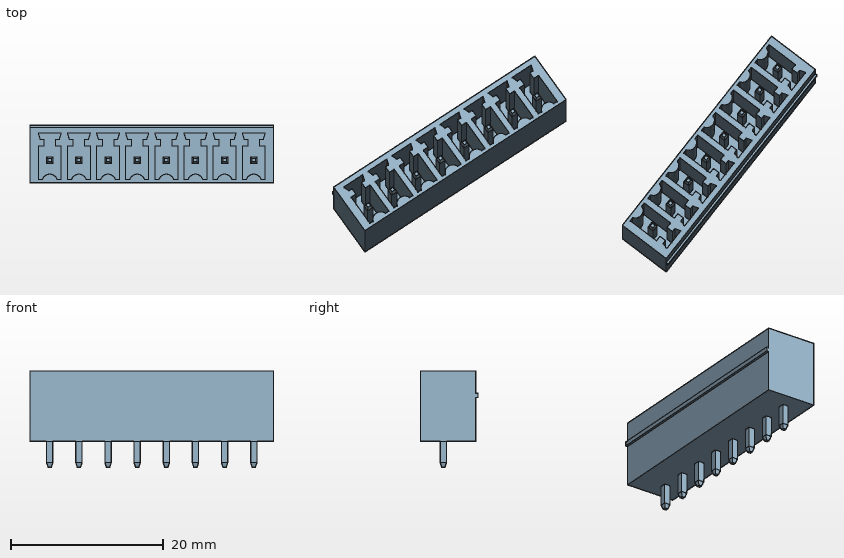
import cadquery as cq


position_count = 8
pitch = 3.81
pin_width = 0.85
pin_tip_width = 0.45
pin_tip_length = 0.6
pin_tail_length = 3.4
pin_recess = 1.4

end_margin = 2.6
housing_length = (position_count - 1) * pitch + 2 * end_margin
housing_depth = 7.25
housing_height = 9.2
front_y = -3.0
back_y = front_y + housing_depth
floor_thickness = 1.2

ridge_projection = 0.3
ridge_height = 0.6
ridge_drop = 2.9

pocket_half_width = 1.5
neck_half_width = 0.75
dovetail_inner_half_width = 1.25
pocket_front_y = front_y + 0.45
neck_front_y = front_y + 4.8
neck_back_y = front_y + 5.7
dovetail_back_y = front_y + 6.5

rib_radius = 1.0
rib_center_y = front_y + 0.15


def make_housing():
    block = cq.Workplane("XY").box(
        housing_length, housing_depth, housing_height, centered=(True, False, False)
    )
    return block.translate((0, front_y, 0))


def make_ridge():
    ridge = cq.Workplane("XY").box(
        housing_length, ridge_projection, ridge_height, centered=(True, False, False)
    )
    return ridge.translate((0, back_y, housing_height - ridge_drop - ridge_height))


def make_pocket():
    """Wide pocket joined by a neck to a dovetail slot, less the rounded front rib."""
    pocket_depth = housing_height - floor_thickness
    right_side = [
        (pocket_half_width, pocket_front_y),
        (pocket_half_width, neck_front_y),
        (neck_half_width, neck_front_y),
        (neck_half_width, neck_back_y),
        (dovetail_inner_half_width, neck_back_y),
        (pocket_half_width, dovetail_back_y),
    ]
    left_side = [(-x, y) for x, y in reversed(right_side)]
    floor_plane = cq.Workplane("XY").workplane(offset=floor_thickness)
    cavity = floor_plane.polyline(right_side + left_side).close().extrude(pocket_depth)
    rib = floor_plane.center(0, rib_center_y).circle(rib_radius).extrude(pocket_depth)
    return cavity.cut(rib)


def make_pin_tip(base_z, direction):
    """Tapered square tip, pointing up (direction 1) or down (direction -1)."""
    return (
        cq.Workplane("XY")
        .workplane(offset=base_z)
        .rect(pin_width, pin_width)
        .workplane(offset=direction * pin_tip_length)
        .rect(pin_tip_width, pin_tip_width)
        .loft()
    )


def make_pin():
    shank_bottom = pin_tip_length - pin_tail_length
    shank_top = housing_height - pin_recess - pin_tip_length
    shank = (
        cq.Workplane("XY")
        .workplane(offset=shank_bottom)
        .rect(pin_width, pin_width)
        .extrude(shank_top - shank_bottom)
    )
    return shank.union(make_pin_tip(shank_top, 1)).union(make_pin_tip(shank_bottom, -1))


pocket = make_pocket()
pin = make_pin()
position_x = [(index - (position_count - 1) / 2) * pitch for index in range(position_count)]

result = make_housing().union(make_ridge())
for x in position_x:
    result = result.cut(pocket.translate((x, 0, 0)))
for x in position_x:
    result = result.union(pin.translate((x, 0, 0)))